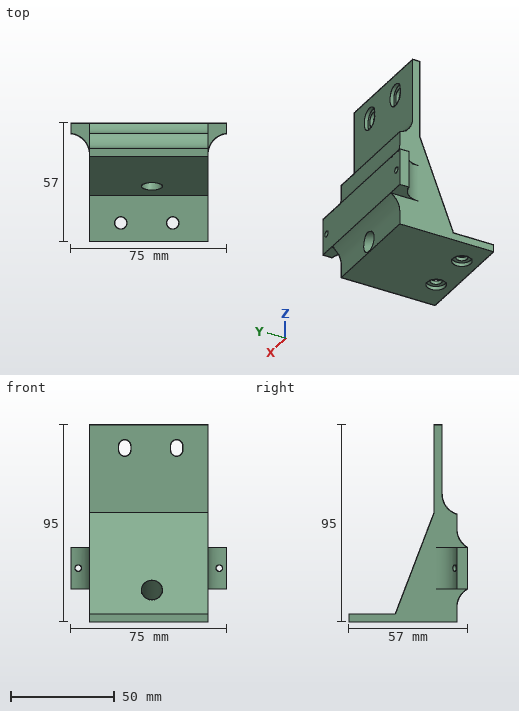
import cadquery as cq
import math

height = 95.0
depth = 57.0
body_width = 57.0
overall_width = 75.0
plate = 4.0

back_step = 5.0
wall_back = 12.2
wall_front = wall_back + plate
slope_top_z = 52.6
slope_toe = 34.8
scoop_radius = 10.0
scoop_start_z = 52.0

ear_height = 20.0
ear_bottom = 16.0
ear_top = ear_bottom + ear_height
ear_mid_z = ear_bottom + ear_height / 2
ear_hole_diameter = 3.0
ear_hole_outset = 5.4

mount_diameter = 5.8
mount_spacing = 25.0
mount_offset = 0.95
slot_length = 7.9
slot_z = 83.8
base_hole_inset = 9.0
lip = plate / 2
recess_margin = 2.0

bore_diameter = 10.1
bore_x = 1.5
bore_z = 15.5


def arc_rise(run):
    """Height of a scoop arc that ends vertical after moving run sideways."""
    return math.sqrt(scoop_radius**2 - (scoop_radius - run) ** 2)


def make_body():
    """Side profile extruded across the width."""
    pad_rise = arc_rise(back_step)
    wall_rise = arc_rise(wall_back - back_step)
    profile = (
        cq.Workplane("YZ", origin=(-body_width / 2, 0, 0))
        .moveTo(-back_step, 0)
        .lineTo(-depth, 0)
        .lineTo(-depth, plate)
        .lineTo(-slope_toe, plate)
        .lineTo(-wall_front, slope_top_z)
        .lineTo(-wall_front, height)
        .lineTo(-wall_back, height)
        .lineTo(-wall_back, scoop_start_z + wall_rise)
        .radiusArc((-back_step, scoop_start_z), -scoop_radius)
        .lineTo(-back_step, ear_top + pad_rise)
        .radiusArc((0, ear_top), -scoop_radius)
        .lineTo(0, ear_bottom)
        .radiusArc((-back_step, ear_bottom - pad_rise), -scoop_radius)
        .close()
    )
    return profile.extrude(body_width)


def make_ear(side):
    """Ear on one side, hollowed by a scoop that runs into the body's side face."""
    inner = body_width / 2
    outer = overall_width / 2
    root_depth = back_step + scoop_radius
    blank = (
        cq.Workplane("XY", origin=(0, 0, ear_bottom))
        .moveTo(0, 0)
        .lineTo(side * outer, 0)
        .lineTo(side * outer, -root_depth)
        .lineTo(0, -root_depth)
        .close()
        .extrude(ear_height)
    )
    scoop = (
        cq.Workplane("XY", origin=(0, 0, ear_bottom))
        .center(side * (inner + scoop_radius), -root_depth)
        .circle(scoop_radius)
        .extrude(ear_height)
    )
    outside = cq.Workplane("XY").box(outer - inner, depth, height, centered=(True, True, False))
    outside = outside.translate((side * (inner + outer) / 2, 0, 0))
    hole = (
        cq.Workplane("XZ", origin=(side * (inner + ear_hole_outset), 0, ear_mid_z))
        .circle(ear_hole_diameter / 2)
        .extrude(depth)
    )
    return blank.intersect(outside).cut(scoop).cut(hole)


def make_slots(margin, front_y):
    """Upright slots, grown by margin all round, from front_y out past the back."""
    half = mount_spacing / 2
    return (
        cq.Workplane("XZ", origin=(mount_offset, front_y, slot_z))
        .pushPoints([(-half, 0), (half, 0)])
        .slot2D(slot_length + 2 * margin, mount_diameter + 2 * margin, 90)
        .extrude(-wall_front)
    )


def make_base_holes(margin, top_z):
    """Round holes, grown by margin all round, from the underside up to top_z."""
    half = mount_spacing / 2
    return (
        cq.Workplane("XY", origin=(-mount_offset, base_hole_inset - depth, 0))
        .pushPoints([(-half, 0), (half, 0)])
        .circle(mount_diameter / 2 + margin)
        .extrude(top_z)
    )


def make_bore():
    """Hole drilled square to the sloping front and out through the back."""
    slope_run = slope_toe - wall_front
    slope_rise = slope_top_z - plate
    bore_y = -slope_toe + (bore_z - plate) * slope_run / slope_rise
    mouth = cq.Vector(bore_x, bore_y, bore_z)
    inward = cq.Vector(0, slope_rise, -slope_run).normalized()
    start = mouth - inward * plate
    return cq.Solid.makeCylinder(bore_diameter / 2, depth, start, inward)


result = make_body()
for side in (-1, 1):
    result = result.union(make_ear(side))
result = result.cut(make_bore())

result = result.cut(make_slots(0, -wall_front))
result = result.cut(make_slots(recess_margin, lip - wall_front))
result = result.cut(make_base_holes(0, plate))
result = result.cut(make_base_holes(recess_margin, plate - lip))